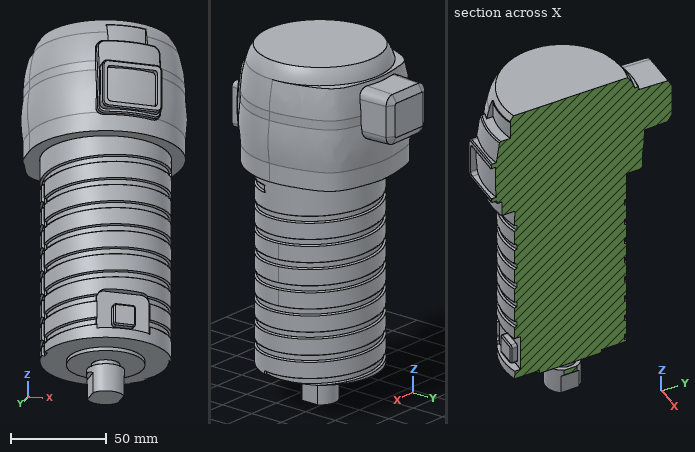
import cadquery as cq
import math

grip_diameter = 69.0
grip_radius = grip_diameter / 2
grip_height = 113.4

groove_pitch = 13.0
groove_turns = 8
groove_start_angle = -18.0
groove_floor_width = 2.8
groove_mouth_width = 4.0
groove_depth = 1.2
slot_depth = 1.7
slot_width = 4.4
slot_top = 98.0

pocket_width = 29.0
pocket_bottom = 5.4
pocket_top = 27.2
pocket_corner = 4.5
pocket_floor_y = -29.7
button_size = 12.0
button_bottom = 7.6
button_front_y = -33.7
button_corner = 1.5
button_edge = 0.8

flange_diameter = 41.2
flange_thickness = 2.0
neck_diameter = 15.0
neck_length = 3.2
shaft_diameter = 20.0
shaft_end = -20.5
collar_height = 2.6
width_across_flats = 17.0

head_bottom = grip_height
belly_bottom = 123.8
belly_top = 147.8
belly_middle = (belly_bottom + belly_top) / 2
shoulder = 152.9
ledge = 169.9
upper_middle = (shoulder + ledge) / 2
head_top = 178.55

head_radius = 41.9
belly_radius = 42.945
upper_radius = 41.1
ledge_radius = 39.2
cap_middle_radius = 37.7
cap_top_radius = 35.1

rear_extra = 1.8
corner_y = 35.0
corner_inset = 10.8
upper_corner_inset = 11.3
ledge_corner_inset = 12.2
side_middle_y = 19.0
rear_middle_x = 17.0

box_base_y = 36.0
box_shoulder_y = 57.8
box_tip_y = 60.4
box_width = 33.2
box_height = 29.4
box_center_z = 153.3
box_corner = 6.0
box_taper = 2.0
box_tip_inset = 4.3

plate_offset = 2.9
plate_width = 34.8
plate_bottom = 122.5
plate_top = 164.0
plate_corner = 4.0
plate_edge = 0.7
frame_width = 32.6
frame_bottom = 124.5
frame_top = 150.7
frame_front_y = -47.1
frame_corner = 3.0
frame_edge = 0.7
window_width = 27.3
window_bottom = 127.4
window_top = 147.5
window_corner = 1.8
plate_back_y = -30.0

notch_width = 21.6
notch_top = 174.9
notch_radius = 36.9


def cylinder(radius, bottom, top):
    return cq.Workplane("XY").workplane(offset=bottom).circle(radius).extrude(top - bottom)


def front_block(width, bottom, top, corner, back_y, front_y):
    """Block with rounded corners that reaches from back_y forward to front_y."""
    return (
        cq.Workplane("XZ", origin=(0, back_y, (bottom + top) / 2))
        .rect(width, top - bottom)
        .extrude(back_y - front_y)
        .edges("|Y")
        .fillet(corner)
    )


def head_section(level, radius, inset):
    """Closed outline of the head: half circle in front, one smooth curve round sides and back."""
    corner_x = radius - inset
    rear_y = radius + rear_extra
    side_radius = (corner_y**2 + inset**2) / (2 * inset)
    side_middle_x = radius - side_radius + math.sqrt(side_radius**2 - side_middle_y**2)
    rear_rise = rear_y - corner_y
    rear_radius = (corner_x**2 + rear_rise**2) / (2 * rear_rise)
    rear_middle_y = rear_y - rear_radius + math.sqrt(rear_radius**2 - rear_middle_x**2)
    right_side = [
        (side_middle_x, side_middle_y),
        (corner_x, corner_y),
        (rear_middle_x, rear_middle_y),
    ]
    left_side = [(-x, y) for x, y in reversed(right_side)]
    return (
        cq.Workplane("XY", origin=(0, 0, level))
        .moveTo(-radius, 0)
        .threePointArc((0, -radius), (radius, 0))
        .spline(
            [*right_side, (0, rear_y), *left_side, (-radius, 0)],
            tangents=[(0, 1), (0, -1)],
            includeCurrent=True,
        )
        .wire()
        .val()
    )


def make_head():
    rim = head_section(head_bottom, head_radius, corner_inset)
    belly_low = head_section(belly_bottom, head_radius, corner_inset)
    belly_mid = head_section(belly_middle, belly_radius, corner_inset)
    belly_high = head_section(belly_top, head_radius, corner_inset)
    shoulder_ring = head_section(shoulder, head_radius, corner_inset)
    upper_ring = head_section(upper_middle, upper_radius, upper_corner_inset)
    ledge_ring = head_section(ledge, ledge_radius, ledge_corner_inset)
    bands = [
        [rim, belly_low],
        [belly_low, belly_mid, belly_high],
        [belly_high, shoulder_ring],
        [shoulder_ring, upper_ring, ledge_ring],
    ]
    head = make_cap()
    for band in bands:
        head = head.union(cq.Workplane(cq.Solid.makeLoft(band, len(band) == 2)))
    return head


def make_cap():
    """Round domed top that rises from the ledge."""
    return (
        cq.Workplane("XZ")
        .moveTo(0, ledge)
        .lineTo(ledge_radius, ledge)
        .threePointArc((cap_middle_radius, (ledge + head_top) / 2), (cap_top_radius, head_top))
        .lineTo(0, head_top)
        .close()
        .revolve(360, (0, 0), (0, 1))
    )


def plate_envelope():
    """Round body that bulges in front of the head, outside it by plate_offset."""
    front_curve = [
        (head_radius + plate_offset, belly_bottom),
        (belly_radius + plate_offset, belly_middle),
        (head_radius + plate_offset, shoulder),
        (ledge_radius + plate_offset, ledge),
    ]
    return (
        cq.Workplane("XZ")
        .moveTo(0, head_bottom)
        .lineTo(head_radius + plate_offset, head_bottom)
        .spline(front_curve, includeCurrent=True)
        .lineTo(0, ledge)
        .close()
        .revolve(360, (0, 0), (0, 1))
    )


def make_plate():
    envelope = plate_envelope()
    block = front_block(
        plate_width, plate_bottom, plate_top, plate_corner, plate_back_y, frame_front_y
    )
    plate = block.intersect(envelope)
    plate = plate.faces("<Y").chamfer(plate_edge)
    frame = front_block(
        frame_width, frame_bottom, frame_top, frame_corner, plate_back_y, frame_front_y
    )
    frame = frame.faces("<Y").chamfer(frame_edge)
    window = front_block(
        window_width, window_bottom, window_top, window_corner, plate_back_y, frame_front_y
    )
    return plate.union(frame.cut(window.cut(envelope)))


def make_notch():
    block = cq.Workplane("XY").box(notch_width, head_radius, notch_top - plate_top)
    block = block.translate((0, -head_radius, (notch_top + plate_top) / 2))
    return block.cut(cylinder(notch_radius, plate_top, notch_top))


def make_rear_box():
    base = cq.Sketch().rect(box_width, box_height).vertices().fillet(box_corner)
    body = (
        cq.Workplane("XZ", origin=(0, box_base_y, box_center_z))
        .placeSketch(base)
        .extrude(box_base_y - box_shoulder_y, taper=box_taper)
    )
    tip_depth = box_tip_y - box_shoulder_y
    tip_angle = math.degrees(math.atan(box_tip_inset / tip_depth))
    return body.faces(">Y").wires().toPending().workplane().extrude(tip_depth, taper=tip_angle)


def make_helical_groove():
    """Cutter with sloping sides that flares on beyond the surface of the grip."""
    path = cq.Wire.makeHelix(groove_pitch, groove_pitch * groove_turns, grip_radius)
    flare = groove_mouth_width - groove_floor_width
    half_floor = groove_floor_width / 2
    half_outside = groove_mouth_width / 2 + flare / 2
    groove = (
        cq.Workplane("XZ", origin=(grip_radius, 0, 0))
        .moveTo(-groove_depth, -half_floor)
        .lineTo(groove_depth, -half_outside)
        .lineTo(groove_depth, half_outside)
        .lineTo(-groove_depth, half_floor)
        .close()
        .sweep(cq.Workplane(path), isFrenet=True)
    )
    return groove.rotate((0, 0, 0), (0, 0, 1), groove_start_angle)


def make_slot():
    straight_top = slot_top - slot_width / 2
    return (
        cq.Workplane("YZ", origin=(-grip_radius - slot_depth, 0, 0))
        .moveTo(-slot_width / 2, 0)
        .lineTo(slot_width / 2, 0)
        .lineTo(slot_width / 2, straight_top)
        .threePointArc((0, slot_top), (-slot_width / 2, straight_top))
        .close()
        .extrude(2 * slot_depth)
    )


def make_pocket():
    return (
        cq.Workplane("XZ", origin=(0, pocket_floor_y, (pocket_bottom + pocket_top) / 2))
        .rect(pocket_width, pocket_top - pocket_bottom)
        .extrude(grip_radius)
        .edges("|Y and >Z")
        .fillet(pocket_corner)
    )


def make_button():
    button = front_block(
        button_size,
        button_bottom,
        button_bottom + button_size,
        button_corner,
        pocket_floor_y,
        button_front_y,
    )
    return button.faces("<Y").chamfer(button_edge)


def make_grip():
    grip = cylinder(grip_radius, 0, grip_height)
    grip = grip.cut(make_helical_groove()).cut(make_slot()).cut(make_pocket())
    return grip.union(make_button())


def make_shaft():
    neck_top = -flange_thickness
    shaft_top = neck_top - neck_length
    shoulder_depth = (shaft_diameter - width_across_flats) / 2
    flat_top = shaft_top - collar_height - shoulder_depth
    shaft = cylinder(shaft_diameter / 2, shaft_end, shaft_top)
    flat = (
        cq.Workplane("XZ")
        .moveTo(width_across_flats / 2, shaft_end)
        .lineTo(width_across_flats / 2, flat_top)
        .lineTo(shaft_diameter / 2, flat_top + shoulder_depth)
        .lineTo(shaft_diameter / 2, shaft_end)
        .close()
        .extrude(shaft_diameter / 2, both=True)
    )
    shaft = shaft.cut(flat).cut(flat.mirror("YZ"))
    neck = cylinder(neck_diameter / 2, shaft_top, neck_top)
    flange = cylinder(flange_diameter / 2, neck_top, 0)
    return shaft.union(neck).union(flange)


head = make_head().union(make_rear_box()).cut(make_notch()).union(make_plate())
result = head.union(make_grip()).union(make_shaft())